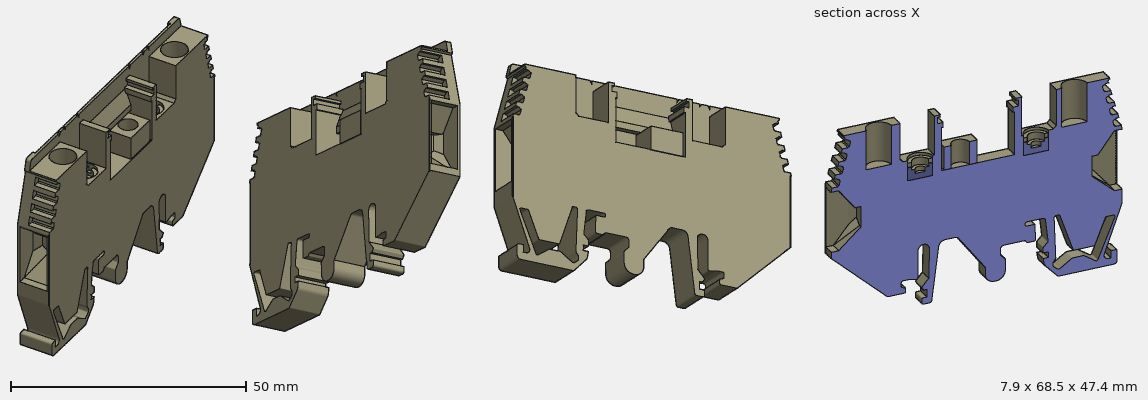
import cadquery as cq
import math


length = 68.5
width = 7.9
half_length = length / 2
wall_top = 47.4
body_top = 44.95
wall = 1.2
bore_x = (wall + width) / 2
middle_y = -0.35
shoulder_z = 32.3
shoulder_y = 30.95
lip_y = 31.4
lip_z = 44.6
lip_height = 0.35
heel_z = 14.1
over = 0.7

recess_depth = 0.6
recess_ledge = 44.5
tab_bottom = 32.5
tab_inner = 6.85
tab_outer = 20.55
recess_end = 27.1
recess_end_flare = 0.75

notch_width = 0.5
deep_notch = 0.8
shallow_notch = 0.6

bay_floor = 35.6
bay_inner = 10.35
bay_outer = 18.35
bay_bevel = 0.7
screw_offset = 13.6
screw_x = 4.3

pocket_floor = 31.5
lip_half = 8.85
groove_half = 9.45
ledge_half = 8.2
pocket_half = 8.55
groove_top = 44.3
ledge_top = 42.95
ledge_bottom = 41.65
bulge_x = 2.6
bulge_top = 42.6
bulge_bottom = 38.85
bulge_underside = 37.3

window_half = 5.8
window_top = 42.95
window_bottom = 38.35
window_depth = 1.6

driver_radius = 2.95
driver_y = 23.0
driver_bottom = bay_floor

grip_count = 4
grip_first_top = 43.7
grip_pitch = 2.95
grip_height = 1.85
grip_depth = 1.6
ceiling_drop = 0.55
sill_rise = 0.2
bevel_run = 1.4
grip_x = 2.6

funnel_x0 = 0.6
funnel_x1 = 7.4
funnel_bottom = 17.7
funnel_top = 31.9
funnel_depth = 7.0
taper_start = 1.8
throat_x0 = 2.05
throat_x1 = 7.0
throat_flat = 0.9
throat_bottom = 22.2
throat_corner = 23.5
throat_top = 27.0
ceiling_end = 5.7
cheek_start = 5.35
edge_relief = 0.2

screw_radius = 2.95
screw_height = 4.1
screw_sink = 0.7
socket_radius = 2.05
socket_depth = 1.7
pilot_radius = 1.2
pilot_depth = 2.75
slot_width = 1.0
slot_depth = 1.0

link_gap = 0.2
link_side = 7.7
link_front = -0.15
link_height = 5.5
link_hole_radius = 2.1
link_hole_y = 3.85

body_outline = [
    (30.7, wall_top, 0.7), (lip_y, lip_z, 0), (shoulder_y, lip_z - lip_height, 0),
    (half_length, shoulder_z, 0), (half_length, 16.1, 0),
    (20.95, 4.0, 0.55), (16.65, 4.0, 0.3), (16.65, 5.2, 0.3), (17.7, 5.6, 0.2), (17.7, 7.0, 0.35),
    (15.95, 7.0, 0), (13.8, 6.5, 0.4), (13.8, 14.65, 1.3),
    (11.1, 14.65, 1.3), (11.3, 6.4, 0), (12.95, 4.5, 0.2), (12.4, 3.7, 0), (11.7, 3.7, 0),
    (11.7, 2.0, 0), (12.95, 2.0, 0.35), (12.95, 0.35, 0.55), (10.55, 0.35, 0.55), (8.7, 14.65, 1.5),
    (4.5, 14.65, 1.0), (-2.0, 6.0, 0), (-2.0, 2.1, 2.25), (-6.8, 2.1, 2.25), (-6.9, 6.85, 0.55),
    (-5.7, 8.1, 0.4), (-5.7, 10.3, 0.75), (-11.4, 10.3, 0), (-11.9, 9.65, 0.2), (-14.0, 9.65, 0.55),
    (-13.8, 13.8, 0.2), (-11.45, 13.8, 0.4), (-11.45, 14.65, 0.4),
    (-16.1, 14.65, 0.55), (-16.8, 8.9, 0.35), (-15.6, 7.75, 0.2), (-15.6, 6.4, 0), (-16.85, 6.4, 0),
    (-16.85, 5.15, 0), (-15.6, 5.15, 0), (-15.9, 3.4, 1.4), (-19.2, 0, 0.5), (-33.15, 0, 0.9),
    (-33.15, 3.5, 0.5), (-31.6, 3.5, 0), (-31.6, 1.8, 0), (-29.65, 1.8, 0.9),
    (-half_length, heel_z, 1.0), (-half_length, shoulder_z, 0),
    (-shoulder_y, lip_z - lip_height, 0), (-lip_y, lip_z, 0), (-30.7, wall_top, 0.7),
]

spring_opening = [
    (-18.3, 14.65, 0.5), (-19.5, 14.65, 0.2), (-22.75, 5.4, 0.2), (-27.8, 5.4, 0.2),
    (-30.4, 11.8, 0.35), (-32.7, 11.8, 0.35), (-28.35, 1.65, 0.35), (-25.2, 3.8, 0.7),
    (-22.55, 3.8, 0.7), (-19.4, 1.7, 0.4), (-18.1, 2.6, 0.4), (-18.1, 3.6, 0.4),
    (-18.7, 4.45, 0.35),
]


def rounded_prism(corners, x0, x1):
    """Prism along X over a polygon of (y, z, radius) corners, each rounded by its own radius."""
    path = cq.Workplane("YZ", origin=(x0, 0, 0))
    for i, (y, z, radius) in enumerate(corners):
        corner = cq.Vector(y, z)
        to_last = (cq.Vector(*corners[i - 1][:2]) - corner).normalized()
        to_next = (cq.Vector(*corners[(i + 1) % len(corners)][:2]) - corner).normalized()
        half_angle = to_last.getAngle(to_next) / 2
        setback = radius / math.tan(half_angle)
        start = corner + to_last * setback
        end = corner + to_next * setback
        path = path.lineTo(start.x, start.y) if i else path.moveTo(start.x, start.y)
        if radius:
            bisector = (to_last + to_next).normalized()
            top = corner + bisector * (radius / math.sin(half_angle) - radius)
            path = path.threePointArc((top.x, top.y), (end.x, end.y))
    return path.close().extrude(x1 - x0)


def prism_x(points, x0, x1):
    """Prism along X over a polygon of (y, z) points."""
    return cq.Workplane("YZ", origin=(x0, 0, 0)).polyline(points).close().extrude(x1 - x0)


def prism_y(points, y0, y1):
    """Prism along Y over a polygon of (x, z) points."""
    return cq.Workplane("XZ", origin=(0, y0, 0)).polyline(points).close().extrude(y0 - y1)


def prism_z(points, z0, z1):
    """Prism along Z over a polygon of (x, y) points."""
    return cq.Workplane("XY", origin=(0, 0, z0)).polyline(points).close().extrude(z1 - z0)


def box(x0, x1, y0, y1, z0, z1):
    """Axis-aligned box between the given limits."""
    return cq.Workplane("XY").box(x1 - x0, y1 - y0, z1 - z0, centered=False).translate((x0, y0, z0))


def cylinder(x, y, radius, z0, z1):
    """Upright cylinder between two heights."""
    return cq.Workplane("XY", origin=(x, y, z0)).circle(radius).extrude(z1 - z0)


def tetrahedron(a, b, c, d):
    """Solid with four triangular faces."""
    faces = []
    for corners in ((a, b, c), (a, b, d), (a, c, d), (b, c, d)):
        loop = cq.Wire.makePolygon([cq.Vector(*p) for p in corners], close=True)
        faces.append(cq.Face.makeFromWires(loop))
    return cq.Workplane(obj=cq.Solid.makeSolid(cq.Shell.makeShell(faces)))


def both_ends(tool):
    """The tool for the -Y end together with its mirror image at the +Y end."""
    return [tool, tool.mirror("XZ")]


def side_recess():
    """Shallow battlement-shaped recess in the outer side of the wall, open at the top."""
    end = [(recess_end + recess_end_flare, wall_top), (recess_end, recess_ledge)]
    tab = [
        (tab_outer, recess_ledge), (tab_outer, tab_bottom),
        (tab_inner, tab_bottom), (tab_inner, recess_ledge),
    ]
    points = end + [(middle_y + y, z) for y, z in tab]
    points += [(middle_y - y, z) for y, z in reversed(tab)]
    points += [(-y, z) for y, z in reversed(end)]
    return prism_x(points, 0, recess_depth)


def wall_notches():
    """V notches in the top edge of the wall; each has one upright flank."""
    notches = []
    for upright_y, lean, depth in (
        (18.1, -1, deep_notch), (15.6, 1, shallow_notch), (10.0, 1, deep_notch),
        (-10.9, -1, deep_notch), (-16.45, -1, shallow_notch), (-19.0, 1, deep_notch),
    ):
        far_y = upright_y + lean * notch_width
        points = [(upright_y, wall_top), (upright_y, wall_top - depth), (far_y, wall_top)]
        notches.append(prism_x(points, 0, wall))
    return notches


def screw_bay(side):
    """Open bay on one side of the middle, with a bevel at the foot of its outer end."""
    outline = [
        (bay_inner, body_top), (bay_inner, bay_floor), (bay_outer - bay_bevel, bay_floor),
        (bay_outer, bay_floor + bay_bevel), (bay_outer, body_top),
    ]
    return prism_x([(middle_y + side * y, z) for y, z in outline], wall, width)


def central_pocket():
    """Pocket between grooved bars, beside a wall that slopes inwards."""
    half = [
        (lip_half, body_top), (lip_half, groove_top), (groove_half, groove_top),
        (groove_half, ledge_top), (ledge_half, ledge_top), (ledge_half, ledge_bottom),
        (pocket_half, ledge_bottom), (pocket_half, pocket_floor),
    ]
    along = [(middle_y + y, z) for y, z in half]
    along += [(middle_y - y, z) for y, z in reversed(half)]
    across = [
        (wall, body_top), (wall, bulge_top), (bulge_x, bulge_bottom), (bulge_x, bulge_underside),
        (wall, bulge_underside), (wall, pocket_floor), (width, pocket_floor), (width, body_top),
    ]
    return prism_x(along, wall, width).intersect(prism_y(across, -half_length, half_length))


def window():
    """Window recess in the wall with a leaning back face."""
    outline = [(0, window_top), (0, window_bottom), (window_depth, bulge_bottom)]
    return prism_y(outline, middle_y - window_half, middle_y + window_half)


def slope_y(z):
    """Y of the sloping -Y end at height z."""
    rise = (z - shoulder_z) / (lip_z - lip_height - shoulder_z)
    return -half_length + rise * (half_length - shoulder_y)


def grip_groove(top):
    """One grip groove in the sloping -Y end, bevelled where its ceiling and sill meet its back."""
    bottom = top - grip_height
    upper_z = top - ceiling_drop
    lower_z = bottom + sill_rise
    upper_y = slope_y(upper_z) + grip_depth
    lower_y = slope_y(lower_z) + grip_depth
    outline = [
        (slope_y(top) - over, top), (upper_y - bevel_run * ceiling_drop, top), (upper_y, upper_z),
        (lower_y, lower_z), (lower_y - bevel_run * sill_rise, bottom), (slope_y(bottom) - over, bottom),
    ]
    return prism_x(outline, grip_x, width)


def wire_funnel():
    """Wire entry in the -Y end, narrowing from a rectangle to a throat with cut lower corners."""
    mouth = -half_length
    back = mouth + funnel_depth
    taper = mouth + taper_start
    profile = [
        (mouth, funnel_bottom), (mouth, funnel_top), (taper, funnel_top), (mouth + ceiling_end, throat_top),
        (back, throat_top), (back, throat_bottom), (taper, funnel_bottom),
    ]
    plan = [
        (funnel_x0, mouth), (funnel_x0, mouth + cheek_start), (throat_x0, back),
        (throat_x1, back), (funnel_x1, mouth + cheek_start), (funnel_x1, mouth),
    ]
    funnel = prism_x(profile, funnel_x0, funnel_x1).intersect(prism_z(plan, funnel_bottom, funnel_top))
    throat_middle = (throat_x0 + throat_x1) / 2
    for mouth_x, throat_x, flat_x in (
        (funnel_x0, throat_x0, throat_middle - throat_flat),
        (funnel_x1, throat_x1, throat_middle + throat_flat),
    ):
        corner_slope = (throat_corner - throat_bottom) / (flat_x - throat_x)
        side_z = throat_corner + corner_slope * (throat_x - mouth_x)
        funnel = funnel.cut(tetrahedron(
            (mouth_x, taper, funnel_bottom), (mouth_x, back, side_z),
            (mouth_x, back, throat_bottom), (flat_x, back, throat_bottom),
        ))
    return funnel


def end_relief():
    """Narrow step down the open-side edge of the upright -Y end."""
    return box(width - edge_relief, width, -half_length, -half_length + edge_relief, heel_z, shoulder_z)


def screw_place(side):
    """Y of the screw on one side of the middle."""
    return middle_y + side * screw_offset


screw_top = bay_floor - screw_sink
screw_bottom = screw_top - screw_height


def make_housing():
    housing = rounded_prism(body_outline, 0, width).cut(rounded_prism(spring_opening, 0, width))
    tools = [box(wall, width, -half_length, half_length, body_top, wall_top)]
    tools += [side_recess(), central_pocket(), window(), *wall_notches()]
    for side in (-1, 1):
        tools.append(screw_bay(side))
        tools.append(cylinder(screw_x, screw_place(side), screw_radius, screw_bottom, bay_floor))
        tools.append(cylinder(bore_x, side * driver_y, driver_radius, driver_bottom, body_top))
    for i in range(grip_count):
        tools += both_ends(grip_groove(grip_first_top - i * grip_pitch))
    tools += both_ends(wire_funnel())
    tools += both_ends(end_relief())
    for tool in tools:
        housing = housing.cut(tool)
    return housing


def make_screw(side):
    """Cylindrical screw with a cross slot and a stepped round socket."""
    y = screw_place(side)
    screw = cylinder(screw_x, y, screw_radius, screw_bottom, screw_top)
    screw = screw.cut(cylinder(screw_x, y, socket_radius, screw_top - socket_depth, screw_top))
    screw = screw.cut(cylinder(screw_x, y, pilot_radius, screw_top - pilot_depth, screw_top))
    slot = box(
        screw_x - slot_width / 2, screw_x + slot_width / 2,
        y - screw_radius, y + screw_radius, screw_top - slot_depth, screw_top,
    )
    return screw.cut(slot)


def make_link():
    """Block standing in the central pocket, with a round hole down through it."""
    back = middle_y + ledge_half - link_gap
    top = pocket_floor + link_height
    link = box(wall, link_side, link_front, back, pocket_floor, top)
    return link.cut(cylinder(bore_x, link_hole_y, link_hole_radius, pocket_floor, top))


housing = make_housing()
screws = [make_screw(side) for side in (-1, 1)]
link = make_link()

screw_solids = [screw.solids().val() for screw in screws]
result = cq.Compound.makeCompound([housing.solids().val(), *screw_solids, link.solids().val()])